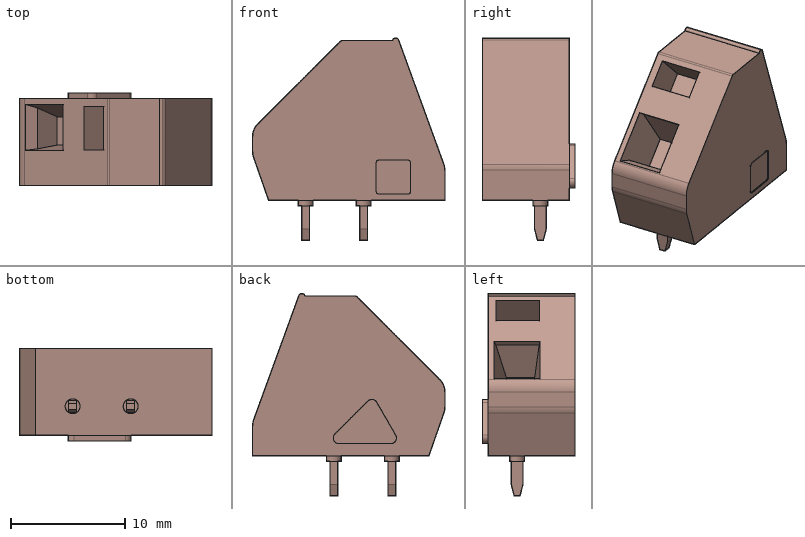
import cadquery as cq
import math

HOUSING_LENGTH = 16.85
HOUSING_WIDTH = 7.62
HOUSING_TOP = 14.0
FOOT_INSET = 1.4
LEFT_WALL_BOTTOM = 4.0
LEFT_WALL_TOP = 6.22
RIGHT_WALL_TOP = 2.9
RIGHT_LEAN = math.radians(20)
LIP_HEIGHT = 0.2
LIP_START = 12.26
BODY_FILLET = 1.5
TOP_FILLET = 0.25

PITCH = 5.08
FIRST_PIN_X = 4.65
PIN_XS = [FIRST_PIN_X, FIRST_PIN_X + PITCH]
PIN_Y = 5.08
PIN_LENGTH = 3.5
PIN_THICKNESS = 0.7
PIN_WIDTH = 1.05
TIP_WIDTH = 0.53
TIP_LENGTH = 1.0
COLLAR_DIAMETER = 1.3
COLLAR_HEIGHT = 0.5

SLOT_DEPTH = 3.6
SLOT_X = (5.63, 7.35)
SLOT_Y = (3.13, 6.93)
MOUTH_OVERCUT = 0.5

FUNNEL_DEPTH = 3.44
FUNNEL_X = (0.53, 3.80)
FUNNEL_MOUTH_Y = (3.08, 7.10)
FUNNEL_FLOOR_Y = (3.54, 6.02)
FUNNEL_LOWER_BREAK = (1.58, 0.98)
FUNNEL_LOWER_FLOOR_X = 3.30
FUNNEL_UPPER_BREAK = (4.20, 0.50)
FUNNEL_UPPER_FLOOR_X = 5.49

PANEL_SIZE = 3.0
PANEL_CENTER = (12.33, 2.03)
PANEL_DEPTH = 0.1
PANEL_FILLET = 0.25

STUD_HEIGHT = 0.5
STUD_RADIUS = 0.5
STUD_LEFT = (4.75, 1.56)
STUD_RISE = 2.87
STUD_LEFT_ANGLE = math.radians(60)
STUD_RIGHT_ANGLE = math.radians(45)


def along_y(points, y_start, y_end):
    """Extrude a closed XZ outline from y_start to y_end."""
    plane = cq.Workplane("XZ", origin=(0, y_start, 0))
    return plane.polyline(points).close().extrude(y_start - y_end)


def below_slope(x, depth):
    """XZ point at the given X, at a distance below the 45 degree face."""
    return (x, LEFT_WALL_TOP + x - math.sqrt(2) * depth)


def straight_in(x, depth):
    """XZ point reached by going square into the 45 degree face from its point at the given X."""
    shift = depth / math.sqrt(2)
    return below_slope(x + shift, depth)


def make_shell():
    lip_top = HOUSING_TOP + LIP_HEIGHT
    lip_flat_start = LIP_START + math.sqrt(TOP_FILLET**2 - (TOP_FILLET - LIP_HEIGHT) ** 2)
    lip_end = HOUSING_LENGTH - (lip_top - RIGHT_WALL_TOP) * math.tan(RIGHT_LEAN)
    slope_end = HOUSING_TOP - LEFT_WALL_TOP
    shell = (
        cq.Workplane("XZ")
        .moveTo(FOOT_INSET, 0)
        .lineTo(HOUSING_LENGTH, 0)
        .lineTo(HOUSING_LENGTH, RIGHT_WALL_TOP)
        .lineTo(lip_end, lip_top)
        .lineTo(lip_flat_start, lip_top)
        .radiusArc((LIP_START, HOUSING_TOP), -TOP_FILLET)
        .lineTo(slope_end, HOUSING_TOP)
        .lineTo(0, LEFT_WALL_TOP)
        .lineTo(0, LEFT_WALL_BOTTOM)
        .close()
        .extrude(-HOUSING_WIDTH)
    )
    rounded_corners = [
        (0, LEFT_WALL_BOTTOM, BODY_FILLET),
        (0, LEFT_WALL_TOP, BODY_FILLET),
        (HOUSING_LENGTH, RIGHT_WALL_TOP, BODY_FILLET),
        (slope_end, HOUSING_TOP, TOP_FILLET),
        (lip_end, lip_top, TOP_FILLET),
    ]
    for x, z, radius in rounded_corners:
        nearest = cq.selectors.NearestToPointSelector((x, HOUSING_WIDTH / 2, z))
        shell = shell.edges("|Y").edges(nearest).fillet(radius)
    return shell


def make_slot():
    low, high = SLOT_X
    return along_y(
        [
            straight_in(low, -MOUTH_OVERCUT),
            straight_in(low, SLOT_DEPTH),
            straight_in(high, SLOT_DEPTH),
            straight_in(high, -MOUTH_OVERCUT),
        ],
        *SLOT_Y,
    )


def make_funnel():
    low, high = FUNNEL_X
    lengthwise = along_y(
        [
            below_slope(low, 0),
            below_slope(*FUNNEL_LOWER_BREAK),
            below_slope(FUNNEL_LOWER_FLOOR_X, FUNNEL_DEPTH),
            below_slope(FUNNEL_UPPER_FLOOR_X, FUNNEL_DEPTH),
            below_slope(*FUNNEL_UPPER_BREAK),
            below_slope(high, 0),
        ],
        *FUNNEL_MOUTH_Y,
    )
    across_slope = cq.Plane(origin=(0, 0, LEFT_WALL_TOP), xDir=(0, 1, 0), normal=(-1, 0, -1))
    crosswise = (
        cq.Workplane(across_slope)
        .polyline(
            [
                (FUNNEL_MOUTH_Y[0], 0),
                (FUNNEL_FLOOR_Y[0], FUNNEL_DEPTH),
                (FUNNEL_FLOOR_Y[1], FUNNEL_DEPTH),
                (FUNNEL_MOUTH_Y[1], 0),
            ]
        )
        .close()
        .extrude(HOUSING_LENGTH, both=True)
    )
    return lengthwise.intersect(crosswise)


def make_panel():
    x, z = PANEL_CENTER
    return (
        cq.Workplane("XY")
        .box(PANEL_SIZE, 2 * PANEL_DEPTH, PANEL_SIZE)
        .edges("|Y")
        .fillet(PANEL_FILLET)
        .translate((x, 0, z))
    )


def make_stud():
    x, z = STUD_LEFT
    apex_x = x + STUD_RISE / math.tan(STUD_LEFT_ANGLE)
    right_x = apex_x + STUD_RISE / math.tan(STUD_RIGHT_ANGLE)
    return (
        cq.Workplane("XZ", origin=(0, HOUSING_WIDTH, 0))
        .polyline([(x, z), (right_x, z), (apex_x, z + STUD_RISE)])
        .close()
        .offset2D(STUD_RADIUS)
        .extrude(-STUD_HEIGHT)
    )


def make_collars():
    centers = [(x, PIN_Y) for x in PIN_XS]
    return cq.Workplane("XY").pushPoints(centers).circle(COLLAR_DIAMETER / 2).extrude(-COLLAR_HEIGHT)


def make_housing():
    housing = make_shell().union(make_collars())
    for opening in [make_slot(), make_funnel(), make_panel()]:
        housing = housing.cut(opening)
    return housing


def make_pin(x):
    """Flat blade hanging from a stand-off, with its end tapered in Y."""
    half = PIN_WIDTH / 2
    tip = TIP_WIDTH / 2
    taper_start = TIP_LENGTH - PIN_LENGTH
    return (
        cq.Workplane("YZ", origin=(x, PIN_Y, 0))
        .polyline(
            [
                (-half, -COLLAR_HEIGHT),
                (-half, taper_start),
                (-tip, -PIN_LENGTH),
                (tip, -PIN_LENGTH),
                (half, taper_start),
                (half, -COLLAR_HEIGHT),
            ]
        )
        .close()
        .extrude(PIN_THICKNESS / 2, both=True)
    )


housing = make_housing()
stud = make_stud()
pins = [make_pin(x) for x in PIN_XS]

result = cq.Compound.makeCompound([housing.solids().val(), stud.val(), *[pin.val() for pin in pins]])